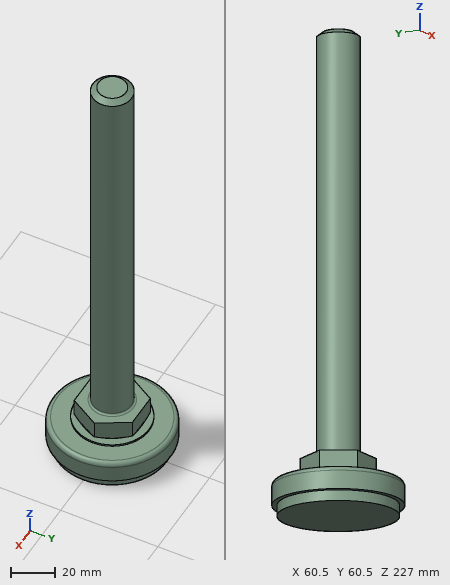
import cadquery as cq
import math

TOTAL_HEIGHT = 227.0
PAD_HEIGHT = 5.0
BASE_TOP = 16.0
WASHER_TOP = 16.8
HEX_TOP = 27.0

PAD_DIAMETER = 55.8
BASE_DIAMETER = 60.5
BASE_FILLET = 2.3
WASHER_DIAMETER = 38.0

ROD_DIAMETER = 20.0
ROD_CHAMFER_WIDTH = 3.0
ROD_CHAMFER_HEIGHT = 2.3
ROD_ROOT_FILLET = 1.0

HEX_ACROSS_FLATS = 30.0
HEX_ACROSS_CORNERS = HEX_ACROSS_FLATS / math.cos(math.pi / 6)
HEX_FACE_DIAMETER = 29.5
HEX_CHAMFER_ANGLE = 30.0


def disc(diameter, bottom, top):
    """Upright cylinder on the Z axis between two heights."""
    return cq.Workplane("XY").workplane(offset=bottom).circle(diameter / 2).extrude(top - bottom)


def make_hexagon():
    """Hexagon with two corners on the X axis and its lower corners turned to a cone."""
    height = HEX_TOP - WASHER_TOP
    hexagon = (
        cq.Workplane("XY").workplane(offset=WASHER_TOP)
        .polygon(6, HEX_ACROSS_CORNERS).extrude(height)
    )
    lower_radius = HEX_FACE_DIAMETER / 2
    upper_radius = lower_radius + height / math.tan(math.radians(HEX_CHAMFER_ANGLE))
    cone = (
        cq.Workplane("XZ")
        .polyline([(0, WASHER_TOP), (lower_radius, WASHER_TOP), (upper_radius, HEX_TOP), (0, HEX_TOP)])
        .close().revolve(360, (0, 0, 0), (0, 1, 0))
    )
    return hexagon.intersect(cone)


def make_rod():
    """Rod with a bevelled upper end and a concave fillet flaring out at its root."""
    radius = ROD_DIAMETER / 2
    arc_step = ROD_ROOT_FILLET * (1 - math.sqrt(0.5))
    return (
        cq.Workplane("XZ")
        .moveTo(0, HEX_TOP)
        .lineTo(radius + ROD_ROOT_FILLET, HEX_TOP)
        .threePointArc((radius + arc_step, HEX_TOP + arc_step), (radius, HEX_TOP + ROD_ROOT_FILLET))
        .lineTo(radius, TOTAL_HEIGHT - ROD_CHAMFER_HEIGHT)
        .lineTo(radius - ROD_CHAMFER_WIDTH, TOTAL_HEIGHT)
        .lineTo(0, TOTAL_HEIGHT)
        .close().revolve(360, (0, 0, 0), (0, 1, 0))
    )


def make_spindle():
    """One piece: the rod rising from its wrench hexagon."""
    return make_hexagon().union(make_rod())


def make_base():
    """Solid disc with a rounded upper rim."""
    return disc(BASE_DIAMETER, PAD_HEIGHT, BASE_TOP).faces(">Z").edges().fillet(BASE_FILLET)


spindle = make_spindle()
washer = disc(WASHER_DIAMETER, BASE_TOP, WASHER_TOP)
base = make_base()
pad = disc(PAD_DIAMETER, 0, PAD_HEIGHT)

result = cq.Compound.makeCompound([spindle.val(), washer.val(), base.val(), pad.val()])